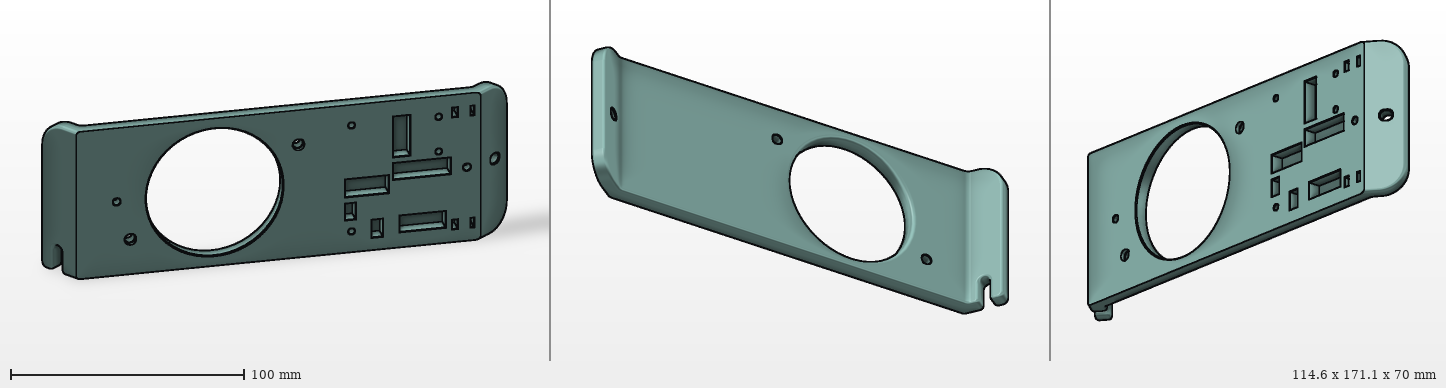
import cadquery as cq
import math

height = 70.0
thickness = 7.0
plate_angle = 58.05
flange_tilt = 5.0
plate_length = 178.0
near_flange_length = 20.0
far_flange_length = 18.6
corner_radius = 12.0
toe_radius = 3.0
bend_radius = 3.0
edge_radius = 1.5

slot_width = 4.9
slot_centre_height = 10.0
slot_from_bend = 11.0
slot_mouth_radius = 2.0
far_hole_diameter = 4.4
far_hole_length = 5.4
far_hole_from_bend = 9.6
far_hole_chamfer = 0.5

opening_diameter = 60.0
opening_along = 60.9
opening_back_radius = 2.0
opening_front_chamfer = 0.5

screw_diameter = 4.4
screw_bore_diameter = 5.2
screw_bore_depth = 2.0
screw_back_chamfer = 0.3
screw_offset_along = 37.0
screw_offset_up = 18.5

mouth_chamfer = 0.3
pocket_depth = 6.0
blind_hole_depth = 5.0
end_hole_diameter = 3.1
end_hole_places = [(17.8, height / 2), (172.0, height / 2)]
board_hole_diameter = 2.6
board_hole_places = [(121.2, 60.2), (121.2, 9.9), (159.6, 60.2), (159.6, 43.7)]

pockets = [
    (139.4, 43.0, 7.8, 19.6),
    (139.4, 32.3, 25.6, 8.2),
    (118.2, 26.2, 19.6, 8.8),
    (118.2, 15.3, 5.0, 8.2),
    (129.8, 5.8, 5.4, 8.8),
    (142.2, 7.1, 20.6, 8.2),
]

slit_tallness = 4.8
slit_edge_gap = 6.0
slits = [(165.3, 2.9), (173.4, 2.0)]

TOLERANCE = 1e-3


def heading(angle):
    """Horizontal unit vector at an angle from +X."""
    return cq.Vector(math.cos(math.radians(angle)), math.sin(math.radians(angle)), 0)


near_angle = flange_tilt
far_angle = 90 + flange_tilt
near_dir = heading(near_angle)
plate_dir = heading(plate_angle)
far_dir = heading(far_angle)

near_bend = cq.Vector(0, 0, 0)
far_bend = near_bend + plate_dir * plate_length
near_tip = near_bend - near_dir * near_flange_length
far_tip = far_bend + far_dir * far_flange_length


def inner_bend(bend, before, after):
    """Back-face corner of a bend, on the bisector of the two face directions."""
    half_turn = math.radians((after - before) / 2)
    return bend + heading((before + after) / 2 + 90) * (thickness / math.cos(half_turn))


near_inner = inner_bend(near_bend, near_angle, plate_angle)
far_inner = inner_bend(far_bend, plate_angle, far_angle)
near_back_tip = near_tip + heading(near_angle + 90) * thickness
far_back_tip = far_tip + heading(far_angle + 90) * thickness


def face_frame(origin, direction):
    """Plane on a front face: x along the face, y up, normal pointing out of the part."""
    outward = direction.cross(cq.Vector(0, 0, 1))
    return cq.Plane(origin=origin.toTuple(), xDir=direction.toTuple(), normal=outward.toTuple())


near_frame = face_frame(near_bend, near_dir)
plate_frame = face_frame(near_bend, plate_dir)
far_frame = face_frame(far_bend, far_dir)



def edges_where(body, test):
    return body.newObject([edge for edge in body.edges().vals() if test(edge)])


def lies_at_depth(edge, frame, depth):
    """True if the whole edge is this far below a front face."""
    points = [frame.toLocalCoords(edge.positionAt(t)) for t in (0, 0.5, 1)]
    return all(abs(point.z + depth) < TOLERANCE for point in points)


def is_upright_at(edge, corners):
    """True for a vertical edge standing on one of the outline corners."""
    middle = edge.Center()
    upright = abs(edge.tangentAt(0.5).z) > 1 - TOLERANCE
    return upright and any(math.hypot(middle.x - c.x, middle.y - c.y) < TOLERANCE for c in corners)



def spot(frame, along, up):
    """Sketch plane at a place on a front face; a negative extrusion goes into the part."""
    return cq.Workplane(frame).center(along, up)


def back_spot(frame, along, up):
    """Sketch plane at the same place on the back face, also with inward negative."""
    return spot(frame, along, up).workplane(offset=thickness, invert=True)


def flare(sketch, chamfer):
    """45 degree mouth cutter: the sketched outline at the surface, narrowing inward."""
    return sketch.extrude(-chamfer, taper=45)



def bent_strip():
    outline = [near_tip, near_bend, far_bend, far_tip,
               far_back_tip, far_inner, near_inner, near_back_tip]
    return cq.Workplane("XY").polyline([(p.x, p.y) for p in outline]).close().extrude(height)


def round_across(body, frame, along, up, radius):
    """Round the edge that runs through the thickness at one place of a flange."""
    middle = frame.toWorldCoords((along, up, -thickness / 2))
    return edges_where(body, lambda edge: (edge.Center() - middle).Length < TOLERANCE).fillet(radius)


def round_flange_corners(body):
    body = round_across(body, near_frame, -near_flange_length, height, corner_radius)
    body = round_across(body, near_frame, -near_flange_length, 0, toe_radius)
    for level in (0, height):
        body = round_across(body, far_frame, far_flange_length, level, corner_radius)
    return body


def round_inner_bends(body):
    return edges_where(body, lambda edge: is_upright_at(edge, (near_inner, far_inner))).fillet(bend_radius)


def cut_open_slot(body):
    half_height = slot_centre_height / 2
    channel = spot(near_frame, -slot_from_bend, half_height).rect(slot_width, slot_centre_height)
    round_end = spot(near_frame, -slot_from_bend, slot_centre_height).circle(slot_width / 2)
    body = body.cut(channel.extrude(-thickness)).cut(round_end.extrude(-thickness))
    for side in (-1, 1):
        body = round_across(body, near_frame, -slot_from_bend + side * slot_width / 2, 0, slot_mouth_radius)
    return body


def round_outer_edges(body):
    """Round the back outline of the strip and the free front edges of the flanges."""
    bend_lines = near_bend, far_bend

    def is_outer(edge):
        if is_upright_at(edge, bend_lines):
            return False
        on_flange_front = any(lies_at_depth(edge, frame, 0) for frame in (near_frame, far_frame))
        on_back = any(lies_at_depth(edge, frame, thickness)
                      for frame in (near_frame, plate_frame, far_frame))
        in_bend = edge.geomType() == "CIRCLE" and abs(edge.tangentAt(0.5).z) < TOLERANCE
        return on_flange_front or on_back or in_bend
    return edges_where(body, is_outer).fillet(edge_radius)



def cut_large_opening(body):
    disc = spot(plate_frame, opening_along, height / 2).circle(opening_diameter / 2)
    body = body.cut(disc.extrude(-thickness))

    def rim(depth):
        return edges_where(body, lambda edge: edge.geomType() == "CIRCLE"
                           and lies_at_depth(edge, plate_frame, depth))
    body = rim(thickness).fillet(opening_back_radius)
    return rim(0).chamfer(opening_front_chamfer)


def cut_far_hole(body):
    place = (far_frame, far_hole_from_bend, height / 2)
    mouth = (far_hole_length + 2 * far_hole_chamfer, far_hole_diameter + 2 * far_hole_chamfer)
    body = body.cut(spot(*place).slot2D(far_hole_length, far_hole_diameter).extrude(-thickness))
    for face in (spot, back_spot):
        body = body.cut(flare(face(*place).slot2D(*mouth), far_hole_chamfer))
    return body


def cut_screw_hole(body, along, up):
    place = (plate_frame, along, up)
    body = body.cut(spot(*place).circle(screw_diameter / 2).extrude(-thickness))
    body = body.cut(spot(*place).circle(screw_bore_diameter / 2).extrude(-screw_bore_depth))
    mouth = back_spot(*place).circle(screw_diameter / 2 + screw_back_chamfer)
    return body.cut(flare(mouth, screw_back_chamfer))


def cut_blind_hole(body, along, up, diameter):
    place = (plate_frame, along, up)
    body = body.cut(spot(*place).circle(diameter / 2).extrude(-blind_hole_depth))
    return body.cut(flare(spot(*place).circle(diameter / 2 + mouth_chamfer), mouth_chamfer))


def cut_pocket(body, along, bottom, length, tallness):
    """Rectangular pocket; length and tallness include the chamfered mouth."""
    place = (plate_frame, along + length / 2, bottom + tallness / 2)
    inside = spot(*place).rect(length - 2 * mouth_chamfer, tallness - 2 * mouth_chamfer)
    body = body.cut(inside.extrude(-pocket_depth))
    return body.cut(flare(spot(*place).rect(length, tallness), mouth_chamfer))


result = bent_strip()
result = round_flange_corners(result)
result = round_inner_bends(result)
result = cut_open_slot(result)
result = round_outer_edges(result)
result = cut_large_opening(result)
result = cut_far_hole(result)
for side in (-1, 1):
    result = cut_screw_hole(result, opening_along + side * screw_offset_along,
                            height / 2 + side * screw_offset_up)
for place in end_hole_places:
    result = cut_blind_hole(result, *place, end_hole_diameter)
for place in board_hole_places:
    result = cut_blind_hole(result, *place, board_hole_diameter)
for pocket in pockets:
    result = cut_pocket(result, *pocket)
for start, length in slits:
    for bottom in (slit_edge_gap, height - slit_edge_gap - slit_tallness):
        result = cut_pocket(result, start, bottom, length, slit_tallness)